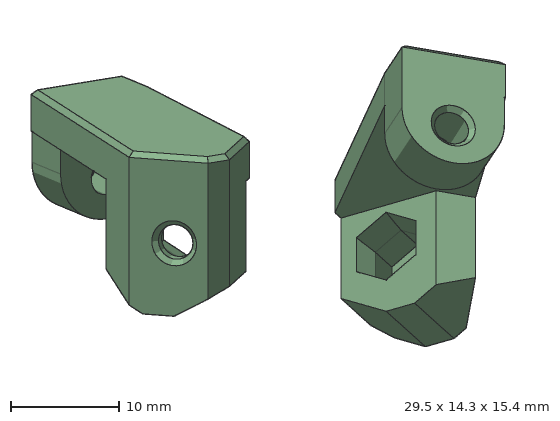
import cadquery as cq
import math

LENGTH = 29.49
PLATE_THICKNESS = 4.0
RIM_CHAMFER = 0.5
PLATE_BACK_Y = 5.0
PLATE_FRONT_Y = -5.1
BACK_SHOULDER = (24.92, 3.14)
FRONT_SHOULDER = (23.83, -9.3)
TIP_BACK_Y = -1.9
TIP_FRONT_Y = -4.22

BARREL_LENGTH = 5.0
BARREL_RADIUS = 5.0
BARREL_ARC_Z = -7.0
BORE_Z = -8.0

HOLE_DIAMETER = 3.3
COUNTERSINK_DIAMETER = 4.3
COUNTERSINK_DEPTH = (COUNTERSINK_DIAMETER - HOLE_DIAMETER) / 2

BLADE_DEPTH = 15.4
BLADE_LEFT_X = 18.15
BLADE_THICKNESS = 7.4
BLADE_FLAT_START = 1.3
BLADE_FLAT_END = 4.32
BLADE_BEVEL_ANGLE = 30.0

SCREW_ALONG = 4.33
SCREW_Z = -8.4
HEX_SIDES = 6
NUT_CORNERS = 6.3
NUT_WALL = 1.5
NUT_SEAT_END = 4.6
POCKET_MOUTH_FLATS = 6.3

BLADE_ANGLE = math.degrees(
    math.atan2(TIP_FRONT_Y - FRONT_SHOULDER[1], LENGTH - FRONT_SHOULDER[0])
)
BIG = 2 * LENGTH

OUTLINE = [
    (0, PLATE_FRONT_Y),
    FRONT_SHOULDER,
    (LENGTH, TIP_FRONT_Y),
    (LENGTH, TIP_BACK_Y),
    BACK_SHOULDER,
    (BARREL_LENGTH, PLATE_BACK_Y),
    (0, PLATE_BACK_Y),
]


def to_blade_frame(shape):
    """Place a shape whose X runs along the blade and Y into it, with its origin at the front shoulder."""
    return shape.rotate((0, 0, 0), (0, 0, 1), BLADE_ANGLE).translate((*FRONT_SHOULDER, 0))


def outline_prism(depth):
    return cq.Workplane("XY").polyline(OUTLINE).close().extrude(-depth)


def top_plate():
    return outline_prism(PLATE_THICKNESS).faces(">Z").edges().chamfer(RIM_CHAMFER)


def hinge_barrel():
    profile = (
        cq.Workplane("YZ")
        .moveTo(-BARREL_RADIUS, -PLATE_THICKNESS)
        .lineTo(-BARREL_RADIUS, BARREL_ARC_Z)
        .threePointArc((0, BARREL_ARC_Z - BARREL_RADIUS), (BARREL_RADIUS, BARREL_ARC_Z))
        .lineTo(BARREL_RADIUS, -PLATE_THICKNESS)
        .close()
    )
    return profile.extrude(BARREL_LENGTH)


def blade():
    """Part of the outline right of the blade's left face and in front of its slanted back face."""
    rise = BIG * math.tan(math.radians(BLADE_BEVEL_ANGLE))
    slab = (
        cq.Workplane("XZ")
        .polyline([
            (BLADE_FLAT_START, -BLADE_DEPTH),
            (BLADE_FLAT_END, -BLADE_DEPTH),
            (BLADE_FLAT_END + BIG, -BLADE_DEPTH + rise),
            (BLADE_FLAT_START - BIG, -BLADE_DEPTH + rise),
        ])
        .close()
        .extrude(BIG, both=True)
    )
    front_half = cq.Workplane("XY").box(2 * BIG, BIG, 2 * BIG).translate((0, BLADE_THICKNESS - BIG / 2, 0))
    right_half = cq.Workplane("XY").box(BIG, BIG, 2 * BIG).translate((BLADE_LEFT_X + BIG / 2, 0, 0))
    below_plate = outline_prism(BLADE_DEPTH - PLATE_THICKNESS).translate((0, 0, -PLATE_THICKNESS))
    return below_plate.intersect(to_blade_frame(slab.intersect(front_half))).intersect(right_half)


def countersunk_hole(length):
    """Hole along +Z with its countersunk mouth at the origin."""
    mouth_radius = COUNTERSINK_DIAMETER / 2
    hole_radius = HOLE_DIAMETER / 2
    cone = cq.Solid.makeCone(mouth_radius, hole_radius, COUNTERSINK_DEPTH)
    return cq.Workplane("XY").circle(hole_radius).extrude(length).union(cq.Workplane(cone))


def barrel_hole():
    hole = countersunk_hole(BARREL_LENGTH)
    return hole.rotate((0, 0, 0), (0, 1, 0), 90).translate((0, 0, BORE_Z))


def blade_screw_cut():
    """Screw hole from the front tip face, opening into the nut pocket behind it."""
    hex_turn = 30
    mouth_corners = POCKET_MOUTH_FLATS / math.cos(math.pi / HEX_SIDES)
    seat = (
        cq.Workplane("XY", origin=(0, 0, NUT_WALL))
        .transformed(rotate=(0, 0, hex_turn))
        .polygon(HEX_SIDES, NUT_CORNERS)
        .extrude(NUT_SEAT_END - NUT_WALL)
    )
    flare = (
        cq.Workplane("XY", origin=(0, 0, NUT_SEAT_END))
        .transformed(rotate=(0, 0, hex_turn))
        .polygon(HEX_SIDES, NUT_CORNERS)
        .workplane(offset=BLADE_THICKNESS - NUT_SEAT_END)
        .polygon(HEX_SIDES, mouth_corners)
        .loft()
    )
    cut = countersunk_hole(NUT_SEAT_END).union(seat).union(flare)
    cut = cut.rotate((0, 0, 0), (1, 0, 0), -90)
    return to_blade_frame(cut.translate((SCREW_ALONG, 0, SCREW_Z)))


result = top_plate().union(hinge_barrel()).union(blade()).cut(barrel_hole()).cut(blade_screw_cut())